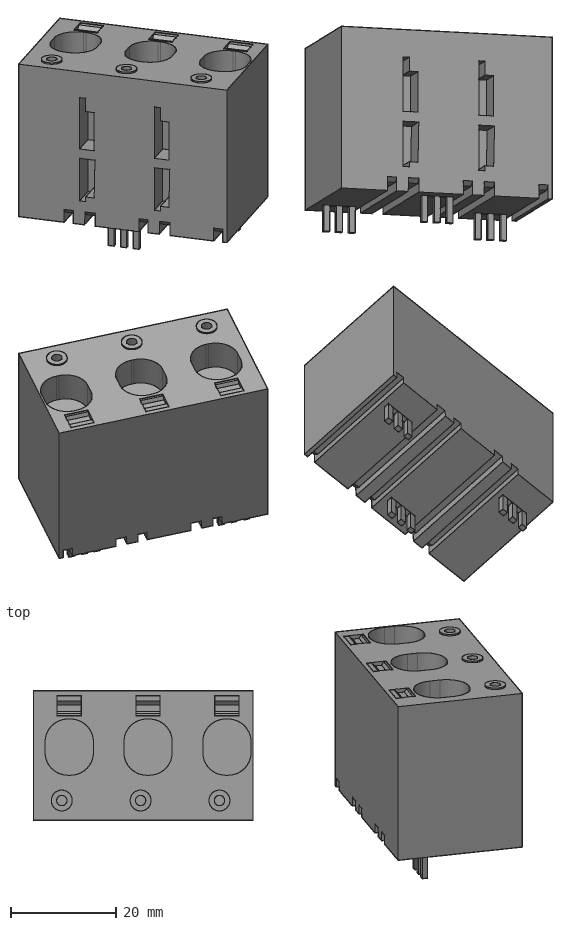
import cadquery as cq

LENGTH = 41.8
DEPTH = 24.7
HEIGHT = 31.3
POLES = 3
PITCH = 15.0

WIRE_X = 6.8
WIRE_Y = 13.95
WIRE_WIDTH = 9.2
WIRE_LENGTH = 10.7
WIRE_RADIUS = 4.35
WIRE_DEPTH = 5.98

FRONT_ROW_Y = 3.8
TEST_X = 5.4
TEST_DIAMETER = 1.95
TEST_DEPTH = 5.0
COLLAR_DIAMETER = 3.97
COLLAR_HEIGHT = 0.3

POCKET_X = 4.47
POCKET_Y = 19.9
POCKET_WIDTH = 4.65
POCKET_LENGTH = 3.9
POCKET_DEPTH = 8.35
LEVER_GAP = 0.05
LEVER_RECESS = 0.1
GROOVE_DEPTH = 0.65
GROOVE_FRONT = 0.4
GROOVE_FRONT_RUN = 0.4
GROOVE_FLOOR = 1.25
GROOVE_BACK_RUN = 0.75

SLOT_LEFT = 12.25
SLOT_STEP = 13.45
SLOT_RIGHT = 15.17
LOWER_SLOT_RIGHT_TOP = 15.35
UPPER_SLOT_BOTTOM = 15.45
UPPER_SLOT_SHOULDER = 23.3
UPPER_SLOT_TOP = 26.0
LOWER_SLOT_BOTTOM = 4.8
LOWER_SLOT_SHOULDER = 5.75
LOWER_SLOT_TOP = 13.55
SLOT_DEPTH = 5.0

NOTCH_HEIGHT = 1.8
NOTCH_CHAMFER = 0.88
OUTER_NOTCH_LEFT = 9.15
OUTER_NOTCH_RIGHT = 10.95
INNER_NOTCH_LEFT = 13.35
INNER_NOTCH_RIGHT = 15.4
INNER_NOTCH_FLARE = 0.13

PINS = 3
PIN_X = 2.45
PIN_SPACING = 2.5
PIN_WIDTH = 1.15
PIN_THICKNESS = 1.05
PIN_LENGTH = 5.0
BACK_ROW_Y = 18.8
BAR_HEIGHT = 1.25
BAR_LENGTH = (PINS - 1) * PIN_SPACING + PIN_WIDTH

pole_offsets = [pole * PITCH for pole in range(POLES)]
gap_offsets = pole_offsets[:-1]


def box(x, y, z, length, width, height):
    """Box with its lowest corner at (x, y, z)."""
    return cq.Workplane("XY").box(length, width, height, centered=False).translate((x, y, z))


def extrude_from_front(points, depth):
    """Extrude an X-Z outline from the front face into the housing."""
    return cq.Workplane("XZ").polyline(points).close().extrude(-depth)


def wire_entry(offset):
    pocket = cq.Workplane("XY").box(WIRE_WIDTH, WIRE_LENGTH, WIRE_DEPTH, centered=(True, True, False))
    pocket = pocket.edges("|Z").fillet(WIRE_RADIUS)
    return pocket.translate((offset + WIRE_X, WIRE_Y, HEIGHT - WIRE_DEPTH))


def collar(offset):
    centre = (offset + TEST_X, FRONT_ROW_Y, HEIGHT)
    return cq.Workplane("XY", origin=centre).circle(COLLAR_DIAMETER / 2).extrude(COLLAR_HEIGHT)


def test_hole(offset):
    centre = (offset + TEST_X, FRONT_ROW_Y, HEIGHT + COLLAR_HEIGHT)
    return cq.Workplane("XY", origin=centre).circle(TEST_DIAMETER / 2).extrude(-TEST_DEPTH)


def lever_pocket(offset):
    return box(
        offset + POCKET_X, POCKET_Y, HEIGHT - POCKET_DEPTH,
        POCKET_WIDTH, POCKET_LENGTH, POCKET_DEPTH,
    )


def front_slots(offset):
    left = offset + SLOT_LEFT
    step = offset + SLOT_STEP
    right = offset + SLOT_RIGHT
    upper = extrude_from_front(
        [
            (left, UPPER_SLOT_BOTTOM),
            (right, UPPER_SLOT_BOTTOM),
            (right, UPPER_SLOT_SHOULDER),
            (step, UPPER_SLOT_SHOULDER),
            (step, UPPER_SLOT_TOP),
            (left, UPPER_SLOT_TOP),
        ],
        SLOT_DEPTH,
    )
    lower = extrude_from_front(
        [
            (left, LOWER_SLOT_BOTTOM),
            (step, LOWER_SLOT_BOTTOM),
            (step, LOWER_SLOT_SHOULDER),
            (right, LOWER_SLOT_SHOULDER),
            (offset + LOWER_SLOT_RIGHT_TOP, LOWER_SLOT_TOP),
            (left, LOWER_SLOT_TOP),
        ],
        SLOT_DEPTH,
    )
    return upper.union(lower)


def notch(left, right, flare=0.0):
    """Notch through the whole depth, with a sloping roof at the front entry."""
    channel = extrude_from_front(
        [(left - flare, 0), (right, 0), (right, NOTCH_HEIGHT), (left, NOTCH_HEIGHT)],
        DEPTH,
    )
    lead_in = (
        cq.Workplane("YZ", origin=(left, 0, NOTCH_HEIGHT))
        .polyline([(0, 0), (NOTCH_CHAMFER, 0), (0, NOTCH_CHAMFER)])
        .close()
        .extrude(right - left)
    )
    return channel.union(lead_in)


def row_y(pole):
    """Outer poles have their pins in the back row, the middle pole in the front row."""
    return BACK_ROW_Y if pole % 2 == 0 else FRONT_ROW_Y


def contact_bar(pole):
    return box(
        pole_offsets[pole] + PIN_X - PIN_WIDTH / 2, row_y(pole) - PIN_THICKNESS / 2, 0,
        BAR_LENGTH, PIN_THICKNESS, BAR_HEIGHT,
    )


def make_contact(pole):
    contact = contact_bar(pole)
    for pin in range(PINS):
        left = pole_offsets[pole] + PIN_X - PIN_WIDTH / 2 + pin * PIN_SPACING
        front = row_y(pole) - PIN_THICKNESS / 2
        contact = contact.union(box(left, front, -PIN_LENGTH, PIN_WIDTH, PIN_THICKNESS, PIN_LENGTH))
    return contact


def make_lever(offset):
    """Lever standing on the pocket floor, with a tool groove across its top."""
    bottom = HEIGHT - POCKET_DEPTH
    top = HEIGHT - LEVER_RECESS
    front = POCKET_Y + LEVER_GAP
    back = POCKET_Y + POCKET_LENGTH - LEVER_GAP
    groove_start = front + GROOVE_FRONT
    floor_start = groove_start + GROOVE_FRONT_RUN
    floor_end = floor_start + GROOVE_FLOOR
    groove_end = floor_end + GROOVE_BACK_RUN
    profile = [
        (front, bottom),
        (back, bottom),
        (back, top),
        (groove_end, top),
        (floor_end, top - GROOVE_DEPTH),
        (floor_start, top - GROOVE_DEPTH),
        (groove_start, top),
        (front, top),
    ]
    return (
        cq.Workplane("YZ", origin=(offset + POCKET_X + LEVER_GAP, 0, 0))
        .polyline(profile)
        .close()
        .extrude(POCKET_WIDTH - 2 * LEVER_GAP)
    )


def make_housing():
    body = box(0, 0, 0, LENGTH, DEPTH, HEIGHT)
    for pole, offset in enumerate(pole_offsets):
        body = body.union(collar(offset))
        body = body.cut(test_hole(offset))
        body = body.cut(wire_entry(offset))
        body = body.cut(lever_pocket(offset))
        body = body.cut(notch(offset + OUTER_NOTCH_LEFT, offset + OUTER_NOTCH_RIGHT))
        body = body.cut(contact_bar(pole))
    for offset in gap_offsets:
        body = body.cut(front_slots(offset))
        body = body.cut(notch(offset + INNER_NOTCH_LEFT, offset + INNER_NOTCH_RIGHT, INNER_NOTCH_FLARE))
    return body


housing = make_housing()
levers = [make_lever(offset) for offset in pole_offsets]
contacts = [make_contact(pole) for pole in range(POLES)]

result = cq.Compound.makeCompound(
    [housing.val(), *[lever.val() for lever in levers], *[contact.val() for contact in contacts]]
)